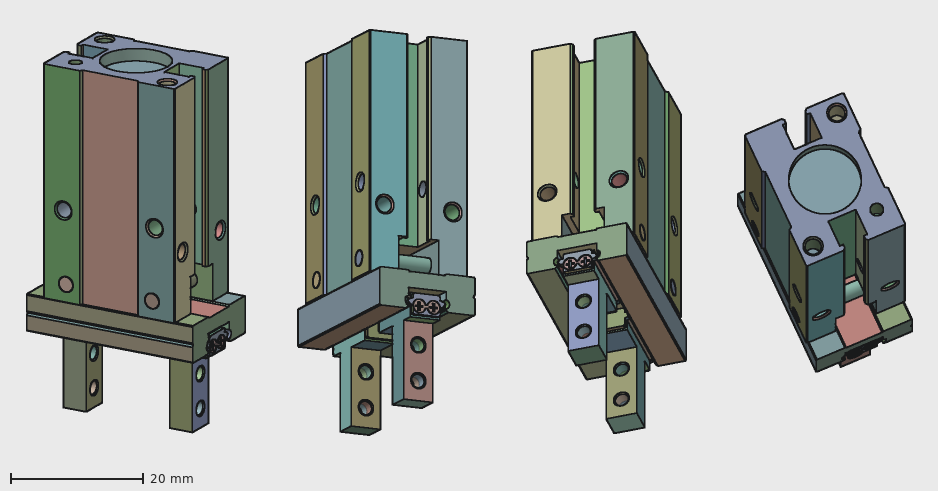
import cadquery as cq


TOTAL_HEIGHT = 57.0
BODY_WIDTH = 22.95
BODY_DEPTH = 16.4
BODY_EDGE_CHAMFER = 0.15
FACE_RECESS_DEPTH = 0.45
FACE_RECESS_TOP_HALF = 5.15
FACE_RECESS_FLOOR_HALF = 4.8

RAIL_LENGTH = 29.0
RAIL_DEPTH = 15.95
RAIL_TOP = 19.4
RAIL_HEIGHT = 6.0
RAIL_BOTTOM = RAIL_TOP - RAIL_HEIGHT
RAIL_EDGE_CHAMFER = 0.15
RAIL_GROOVE_Z = 16.3
RAIL_GROOVE_HALF = 0.35
RAIL_GROOVE_DEPTH = 0.2
RAIL_CHANNEL_TOP_HALF = 3.2
RAIL_CHANNEL_FLOOR_HALF = 2.95
RAIL_CHANNEL_DEPTH = 0.2

SLOT_BOTTOM_X = 6.25
SLOT_HALF = 2.3
SLOT_MOUTH_HALF = 1.7
SLOT_LIP = 0.9
SLOT_LIP_CHAMFER = 0.35
WINDOW_HALF = 3.35
WINDOW_TOP = 25.35

BORE_DIAMETER = 11.0
BORE_DEPTH = 2.0
THREAD_DIAMETER = 2.45
THREAD_MOUTH_DIAMETER = 3.0
CROSS_HOLE_X = 8.0
CROSS_HOLE_Z = 34.05
SIDE_HOLE_Y = 5.7
SIDE_HOLE_Z = 30.05
BLIND_HOLE_DEPTH = 5.0
TOP_HOLE_X = 8.95
TOP_HOLE_Y = 6.0
VENT_DIAMETER = 2.0
VENT_X = -7.6
VENT_Y = -5.2

PIN_DIAMETER = 2.5
PIN_X = 7.5
PIN_Z = 22.25
PIN_END_CHAMFER = 0.05

GUIDE_HALF = 3.15
GUIDE_TOP = 16.65
GUIDE_MOUTH_CHAMFER = 0.35
TRACK_RADIUS = 0.75
TRACK_Z = 14.65
TRACK_CENTER_Y = 2.95

FINGER_HALF = 2.45
CARRIAGE_OUTER_X = 13.6
CARRIAGE_INNER_X = 2.55
CARRIAGE_TOP = 16.15
CARRIAGE_BOTTOM = 12.3
SHOULDER_Z = 15.2
RIB_BASE_Z = 14.0
RIB_TIP_HALF = 3.35
RIB_TIP_HALF_HEIGHT = 0.35
LEG_OUTER_X = 11.3
LEG_WIDTH = 4.0
FINGER_HOLE_DIAMETER = 2.1
FINGER_HOLE_MOUTH_DIAMETER = 2.5
FINGER_HOLE_HEIGHTS = (3.15, 8.7)

PLATE_OUTER_X = 14.25
PLATE_INNER_X = 1.9
PLATE_INSET = 0.15
PLATE_TOP = CARRIAGE_TOP - PLATE_INSET
PLATE_BOTTOM = 12.65
PLATE_HALF = FINGER_HALF - PLATE_INSET
PLATE_TOP_CHAMFER = 0.2
PLATE_BOTTOM_CHAMFER = 0.15
PLATE_TIP_HALF = 3.2
PLATE_WING_HALF = 2.85
PLATE_WING_HALF_HEIGHT = 0.4
SCREW_DIAMETER = 2.1
SCREW_Y = 1.2
SCREW_Z = 14.0
SCREW_RECESS = 0.1
SCREW_BRIDGE_HEIGHT = 0.5
DRIVE_LENGTH = 1.25
DRIVE_UPRIGHT_WIDTH = 0.35
DRIVE_UPRIGHT_DEPTH = 0.2
DRIVE_LEVEL_WIDTH = 0.15
DRIVE_LEVEL_DEPTH = 0.1

SIDES = (-1, 1)


def box_between(x0, x1, y0, y1, z0, z1):
    return cq.Workplane("XY").box(x1 - x0, y1 - y0, z1 - z0, centered=False).translate((x0, y0, z0))


def extrude_along_x(half_outline, x0, x1):
    """Mirror an outline of (y, z) points about Y = 0 and extrude it from x0 to x1."""
    mirrored = [(-y, z) for y, z in reversed(half_outline)]
    profile = cq.Workplane("YZ", origin=(x0, 0, 0)).polyline(half_outline + mirrored).close()
    return profile.extrude(x1 - x0)


def countersunk_hole(start, direction, depth, diameter, mouth_diameter):
    """Cutter for a hole with a 45 degree mouth."""
    axis = cq.Vector(*direction)
    mouth_depth = (mouth_diameter - diameter) / 2
    drill = cq.Solid.makeCylinder(diameter / 2, depth, cq.Vector(*start), axis)
    mouth = cq.Solid.makeCone(mouth_diameter / 2, diameter / 2, mouth_depth, cq.Vector(*start), axis)
    return cq.Workplane(drill.fuse(mouth))


def make_block():
    height = TOTAL_HEIGHT - RAIL_TOP
    block = cq.Workplane("XY", origin=(0, 0, RAIL_TOP)).rect(BODY_WIDTH, BODY_DEPTH).extrude(height)
    block = block.edges("|Z").chamfer(BODY_EDGE_CHAMFER)
    face_y = BODY_DEPTH / 2
    for side in SIDES:
        recess = [
            (-FACE_RECESS_TOP_HALF, side * face_y),
            (FACE_RECESS_TOP_HALF, side * face_y),
            (FACE_RECESS_FLOOR_HALF, side * (face_y - FACE_RECESS_DEPTH)),
            (-FACE_RECESS_FLOOR_HALF, side * (face_y - FACE_RECESS_DEPTH)),
        ]
        block = block.cut(cq.Workplane("XY", origin=(0, 0, RAIL_TOP)).polyline(recess).close().extrude(height))
    return block


def make_rail():
    length_half = RAIL_LENGTH / 2
    rail = box_between(-length_half, length_half, -RAIL_DEPTH / 2, RAIL_DEPTH / 2, RAIL_BOTTOM, RAIL_TOP)
    rail = rail.edges("|X").chamfer(RAIL_EDGE_CHAMFER)
    front_y = -RAIL_DEPTH / 2
    groove = [
        (front_y, RAIL_GROOVE_Z + RAIL_GROOVE_HALF),
        (front_y, RAIL_GROOVE_Z - RAIL_GROOVE_HALF),
        (front_y + RAIL_GROOVE_DEPTH, RAIL_GROOVE_Z),
    ]
    groove_start = cq.Workplane("YZ", origin=(-length_half, 0, 0))
    return rail.cut(groove_start.polyline(groove).close().extrude(RAIL_LENGTH))


def make_rail_channel():
    floor_z = RAIL_TOP - RAIL_CHANNEL_DEPTH
    outline = [(RAIL_CHANNEL_FLOOR_HALF, floor_z), (RAIL_CHANNEL_TOP_HALF, RAIL_TOP)]
    return extrude_along_x(outline, -RAIL_LENGTH / 2, RAIL_LENGTH / 2)


def make_guideway():
    length_half = RAIL_LENGTH / 2
    outline = [
        (GUIDE_HALF + GUIDE_MOUTH_CHAMFER, RAIL_BOTTOM),
        (GUIDE_HALF, RAIL_BOTTOM + GUIDE_MOUTH_CHAMFER),
        (GUIDE_HALF, GUIDE_TOP),
    ]
    guideway = extrude_along_x(outline, -length_half, length_half)
    tracks = cq.Workplane("YZ", origin=(-length_half, 0, 0))
    tracks = tracks.pushPoints([(side * TRACK_CENTER_Y, TRACK_Z) for side in SIDES])
    return guideway.union(tracks.circle(TRACK_RADIUS).extrude(RAIL_LENGTH))


def make_sensor_slot(side):
    face_x = BODY_WIDTH / 2
    half_outline = [
        (face_x, SLOT_MOUTH_HALF + SLOT_LIP_CHAMFER),
        (face_x - SLOT_LIP_CHAMFER, SLOT_MOUTH_HALF),
        (face_x - SLOT_LIP, SLOT_MOUTH_HALF),
        (face_x - SLOT_LIP, SLOT_HALF),
        (SLOT_BOTTOM_X, SLOT_HALF),
    ]
    outline = half_outline + [(x, -y) for x, y in reversed(half_outline)]
    outline = [(side * x, y) for x, y in outline]
    start = cq.Workplane("XY", origin=(0, 0, RAIL_TOP))
    return start.polyline(outline).close().extrude(TOTAL_HEIGHT - RAIL_TOP)


def make_window():
    face_x = BODY_WIDTH / 2
    return box_between(-face_x, face_x, -WINDOW_HALF, WINDOW_HALF, RAIL_TOP, WINDOW_TOP)


def thread_hole(start, direction, depth):
    return countersunk_hole(start, direction, depth, THREAD_DIAMETER, THREAD_MOUTH_DIAMETER)


def cut_housing_holes(housing):
    for x_side in SIDES:
        for y_side in SIDES:
            cross_start = (x_side * CROSS_HOLE_X, y_side * BODY_DEPTH / 2, CROSS_HOLE_Z)
            housing = housing.cut(thread_hole(cross_start, (0, -y_side, 0), BODY_DEPTH / 2))
            side_start = (x_side * BODY_WIDTH / 2, y_side * SIDE_HOLE_Y, SIDE_HOLE_Z)
            housing = housing.cut(thread_hole(side_start, (-x_side, 0, 0), BLIND_HOLE_DEPTH))
        top_start = (x_side * TOP_HOLE_X, -x_side * TOP_HOLE_Y, TOTAL_HEIGHT)
        housing = housing.cut(thread_hole(top_start, (0, 0, -1), BLIND_HOLE_DEPTH))
    top = cq.Workplane("XY", origin=(0, 0, TOTAL_HEIGHT))
    bore = top.circle(BORE_DIAMETER / 2).extrude(-BORE_DEPTH)
    vent = top.center(VENT_X, VENT_Y).circle(VENT_DIAMETER / 2).extrude(-BLIND_HOLE_DEPTH)
    return housing.cut(bore).cut(vent)


def make_pin_bores():
    """Plain cylinders through the housing, one on each side."""
    start = cq.Workplane("XZ", origin=(0, BODY_DEPTH / 2, 0))
    centers = [(side * PIN_X, PIN_Z) for side in SIDES]
    return start.pushPoints(centers).circle(PIN_DIAMETER / 2).extrude(BODY_DEPTH)


def make_lever_pins():
    """Pins that fill the bores and have chamfered ends."""
    return make_pin_bores().faces("|Y").chamfer(PIN_END_CHAMFER)


def make_housing():
    housing = make_block().union(make_rail())
    housing = housing.cut(make_rail_channel()).cut(make_guideway()).cut(make_window())
    for side in SIDES:
        housing = housing.cut(make_sensor_slot(side))
    housing = cut_housing_holes(housing)
    return housing.cut(make_pin_bores()).union(make_lever_pins())


def make_carriage():
    outline = [
        (FINGER_HALF, CARRIAGE_BOTTOM),
        (FINGER_HALF, RIB_BASE_Z),
        (RIB_TIP_HALF, TRACK_Z - RIB_TIP_HALF_HEIGHT),
        (RIB_TIP_HALF, TRACK_Z + RIB_TIP_HALF_HEIGHT),
        (GUIDE_HALF, SHOULDER_Z),
        (FINGER_HALF, SHOULDER_Z),
        (FINGER_HALF, CARRIAGE_TOP),
    ]
    return extrude_along_x(outline, -CARRIAGE_OUTER_X, -CARRIAGE_INNER_X)


def make_end_plate(x0, x1):
    outline = [
        (PLATE_HALF - PLATE_BOTTOM_CHAMFER, PLATE_BOTTOM),
        (PLATE_HALF, PLATE_BOTTOM + PLATE_BOTTOM_CHAMFER),
        (PLATE_HALF, RIB_BASE_Z),
        (PLATE_WING_HALF, TRACK_Z - PLATE_WING_HALF_HEIGHT),
        (PLATE_TIP_HALF, TRACK_Z),
        (PLATE_WING_HALF, TRACK_Z + PLATE_WING_HALF_HEIGHT),
        (PLATE_HALF, SHOULDER_Z),
        (PLATE_HALF, PLATE_TOP - PLATE_TOP_CHAMFER),
        (PLATE_HALF - PLATE_TOP_CHAMFER, PLATE_TOP),
    ]
    return extrude_along_x(outline, x0, x1)


def make_screw_recesses():
    """Two sunk screw heads with cross drives, joined by a shallow bridge."""
    face = cq.Workplane("YZ", origin=(-PLATE_OUTER_X, 0, SCREW_Z))
    centers = [(side * SCREW_Y, 0) for side in SIDES]
    heads = face.pushPoints(centers).circle(SCREW_DIAMETER / 2).extrude(SCREW_RECESS)
    bridge = face.rect(2 * SCREW_Y, SCREW_BRIDGE_HEIGHT).extrude(SCREW_RECESS)
    drives = face.pushPoints(centers)
    upright = drives.rect(DRIVE_UPRIGHT_WIDTH, DRIVE_LENGTH).extrude(SCREW_RECESS + DRIVE_UPRIGHT_DEPTH)
    level = drives.rect(DRIVE_LENGTH, DRIVE_LEVEL_WIDTH).extrude(SCREW_RECESS + DRIVE_LEVEL_DEPTH)
    return heads.union(bridge).union(upright).union(level)


def make_left_finger():
    leg_inner_x = LEG_WIDTH - LEG_OUTER_X
    finger = make_carriage()
    finger = finger.union(make_end_plate(-PLATE_OUTER_X, -CARRIAGE_OUTER_X))
    finger = finger.union(make_end_plate(-CARRIAGE_INNER_X, -PLATE_INNER_X))
    finger = finger.union(
        box_between(-LEG_OUTER_X, leg_inner_x, -FINGER_HALF, FINGER_HALF, 0, CARRIAGE_BOTTOM)
    )
    for height in FINGER_HOLE_HEIGHTS:
        for x, direction in ((-LEG_OUTER_X, 1), (leg_inner_x, -1)):
            finger = finger.cut(
                countersunk_hole(
                    (x, 0, height),
                    (direction, 0, 0),
                    LEG_WIDTH / 2,
                    FINGER_HOLE_DIAMETER,
                    FINGER_HOLE_MOUTH_DIAMETER,
                )
            )
    return finger.cut(make_screw_recesses())


housing = make_housing()
left_finger = make_left_finger()
fingers = [left_finger, left_finger.mirror("YZ")]

result = cq.Compound.makeCompound([housing.val(), *[finger.val() for finger in fingers]])